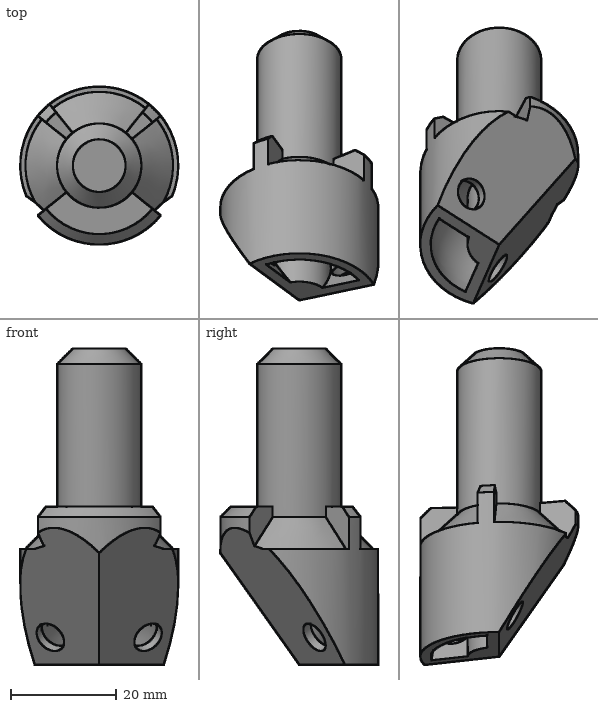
import cadquery as cq
import math

BODY_RADIUS = 15.0
SHANK_RADIUS = 8.0
TOTAL_HEIGHT = 60.0
BODY_HEIGHT = 30.0
SHANK_CHAMFER = 3.0
RIM_CHAMFER = 2.0

TOOTH_ANGLE = 12.0
GULLY_ANGLE = 90.0 - TOOTH_ANGLE
GULLY_DIRECTIONS = (0.0, 90.0, 180.0)
LEDGE_WIDTH = 1.0
LEDGE_HEIGHT = 22.0
GULLY_OUTER_RADIUS = BODY_RADIUS - LEDGE_WIDTH
GULLY_TOP = LEDGE_HEIGHT + GULLY_OUTER_RADIUS - SHANK_RADIUS

SEAT_SIDES = (-1, 1)
SEAT_TILT = 60.0
SEAT_AZIMUTH = math.degrees(math.atan(math.sqrt(2)))
SEAT_CUT_SIZE = 120.0

WALL = 2.0
HOLLOW_RADIUS = BODY_RADIUS - WALL
DOME_BASE = 3.0
CORE_RADIUS = 6.0

HOLE_RADIUS = 3.0
HOLE_DEPTH = 2 * WALL
HOLE_X = 9.27
HOLE_Z = 5.2

CUT_MARGIN = 5.0


def make_blank():
    """Round body with a thinner shank on top, both chamfered at their upper rims."""
    body = cq.Workplane("XY").circle(BODY_RADIUS).extrude(BODY_HEIGHT)
    body = body.faces(">Z").edges().chamfer(RIM_CHAMFER)
    shank = cq.Workplane("XY").circle(SHANK_RADIUS).extrude(TOTAL_HEIGHT)
    shank = shank.faces(">Z").edges().chamfer(SHANK_CHAMFER)
    return body.union(shank)


def make_gully(direction):
    """Sector above a 45 degree cone and a flat outer ledge, centred on a direction in degrees."""
    outer = BODY_RADIUS + CUT_MARGIN
    top = BODY_HEIGHT + CUT_MARGIN
    profile = [
        (SHANK_RADIUS, top),
        (SHANK_RADIUS, GULLY_TOP),
        (GULLY_OUTER_RADIUS, LEDGE_HEIGHT),
        (outer, LEDGE_HEIGHT),
        (outer, top),
    ]
    sector = cq.Workplane("XZ").polyline(profile).close().revolve(GULLY_ANGLE, (0, 0, 0), (0, 1, 0))
    return sector.rotate((0, 0, 0), (0, 0, 1), direction - GULLY_ANGLE / 2)


def seat_normal(side):
    """Outward normal of the seat on the -X (-1) or +X (+1) side of the ridge."""
    tilt = math.radians(SEAT_TILT)
    azimuth = math.radians(SEAT_AZIMUTH)
    return cq.Vector(
        side * math.sin(tilt) * math.cos(azimuth),
        -math.sin(tilt) * math.sin(azimuth),
        -math.cos(tilt),
    )


def make_seat_cut(side, inset=0.0):
    """Everything in front of a plane parallel to a seat and set inward from it by the inset."""
    normal = seat_normal(side)
    plane = cq.Plane(origin=(normal * -inset).toTuple(), normal=normal.toTuple())
    return cq.Workplane(plane).rect(SEAT_CUT_SIZE, SEAT_CUT_SIZE).extrude(SEAT_CUT_SIZE)


def make_seat_hole(side):
    """Cylinder running inward from the seat surface along the seat normal."""
    normal = seat_normal(side)
    x = side * HOLE_X
    y = -(normal.x * x + normal.z * HOLE_Z) / normal.y
    plane = cq.Plane(origin=(x, y, HOLE_Z), normal=normal.toTuple())
    return cq.Workplane(plane).circle(HOLE_RADIUS).extrude(-HOLE_DEPTH)


def make_hollow():
    """Cylinder with a hemispherical top, less the core and the walls behind the seats."""
    dome_top = DOME_BASE + HOLLOW_RADIUS
    hollow = (
        cq.Workplane("XZ")
        .lineTo(HOLLOW_RADIUS, 0)
        .lineTo(HOLLOW_RADIUS, DOME_BASE)
        .radiusArc((0, dome_top), -HOLLOW_RADIUS)
        .close()
        .revolve(360, (0, 0, 0), (0, 1, 0))
    )
    for side in SEAT_SIDES:
        hollow = hollow.cut(make_seat_cut(side, WALL))
    core = cq.Workplane("XY").circle(CORE_RADIUS).extrude(BODY_HEIGHT)
    return hollow.cut(core)


result = make_blank()
for direction in GULLY_DIRECTIONS:
    result = result.cut(make_gully(direction))
for side in SEAT_SIDES:
    result = result.cut(make_seat_cut(side))
result = result.cut(make_hollow())
for side in SEAT_SIDES:
    result = result.cut(make_seat_hole(side))